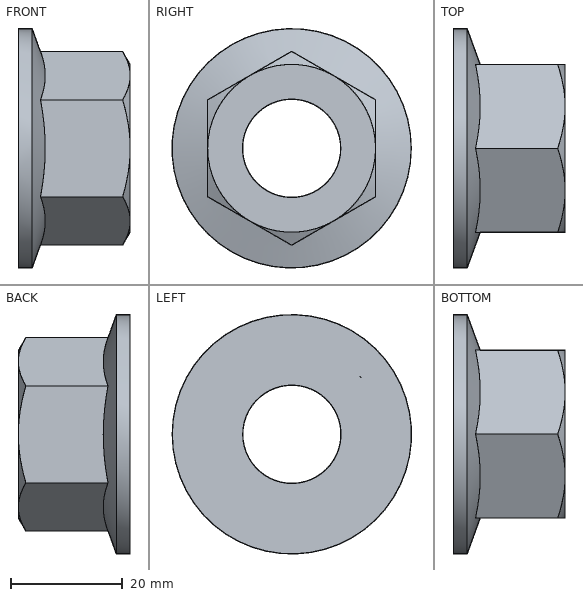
import cadquery as cq
import math

height = 20.0
flange_diameter = 42.8
rim_thickness = 2.5
cone_angle = 20
across_flats = 30.0
bore_diameter = 17.5
chamfer_angle = 30

flange_radius = flange_diameter / 2
flat_radius = across_flats / 2
corner_radius = flat_radius / math.cos(math.radians(30))
bore_radius = bore_diameter / 2


def revolve_about_x(points):
    """Revolve a closed (X, radius) outline about the X axis."""
    return cq.Workplane("XY").polyline(points).close().revolve(360, (0, 0), (1, 0))


def make_flange():
    """Flat rim with a conical back that ends inside the hexagon."""
    cone_end = rim_thickness + (flange_radius - bore_radius) * math.tan(math.radians(cone_angle))
    return revolve_about_x([
        (0, 0),
        (0, flange_radius),
        (rim_thickness, flange_radius),
        (cone_end, bore_radius),
        (cone_end, 0),
    ])


def make_hexagon():
    """Hexagon with corners on +/-Z, its end chamfered down to the flats."""
    prism = (
        cq.Workplane("YZ")
        .transformed(rotate=(0, 0, 90))
        .polygon(6, 2 * corner_radius)
        .extrude(height)
    )
    chamfer_depth = (corner_radius - flat_radius) * math.tan(math.radians(chamfer_angle))
    envelope = revolve_about_x([
        (0, 0),
        (0, corner_radius),
        (height - chamfer_depth, corner_radius),
        (height, flat_radius),
        (height, 0),
    ])
    return prism.intersect(envelope)


bore = cq.Workplane("YZ").circle(bore_radius).extrude(height)
result = make_flange().union(make_hexagon()).cut(bore)